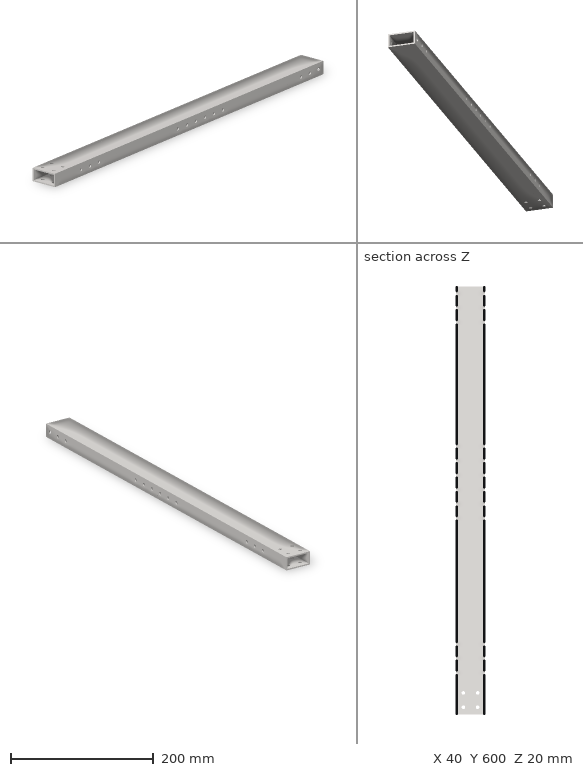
import cadquery as cq

length = 600.0
width = length / 15
height = width / 2
wall = width / 20

hole_diameter = 5.05
hole_pitch = width / 2
end_margin = hole_pitch / 2

end_row_count = 3
end_row_span = (end_row_count - 1) * hole_pitch
far_row_start = 501.5
side_rows = [
    (end_margin, end_margin + end_row_span, end_row_count),
    (224.5, 325.0, 6),
    (far_row_start, far_row_start + end_row_span, end_row_count),
]


def make_tube():
    outer = cq.Workplane("XY").box(width, length, height)
    bore = cq.Workplane("XY").box(width - 2 * wall, length, height - 2 * wall)
    return outer.cut(bore)


def side_hole_cutters():
    """Holes across both side walls, on the mid-height line."""
    centers = []
    for first, last, count in side_rows:
        pitch = (last - first) / (count - 1)
        for i in range(count):
            centers.append((length / 2 - first - i * pitch, 0))
    drill = cq.Workplane("YZ").pushPoints(centers).circle(hole_diameter / 2)
    return drill.extrude(width / 2, both=True)


def flat_hole_cutters():
    """Square pattern of four holes through the top and bottom walls at the -Y end."""
    pattern_center_y = -length / 2 + end_margin + hole_pitch / 2
    drill = (
        cq.Workplane("XY")
        .center(0, pattern_center_y)
        .rarray(hole_pitch, hole_pitch, 2, 2)
        .circle(hole_diameter / 2)
    )
    return drill.extrude(height / 2, both=True)


result = make_tube().cut(side_hole_cutters()).cut(flat_hole_cutters())